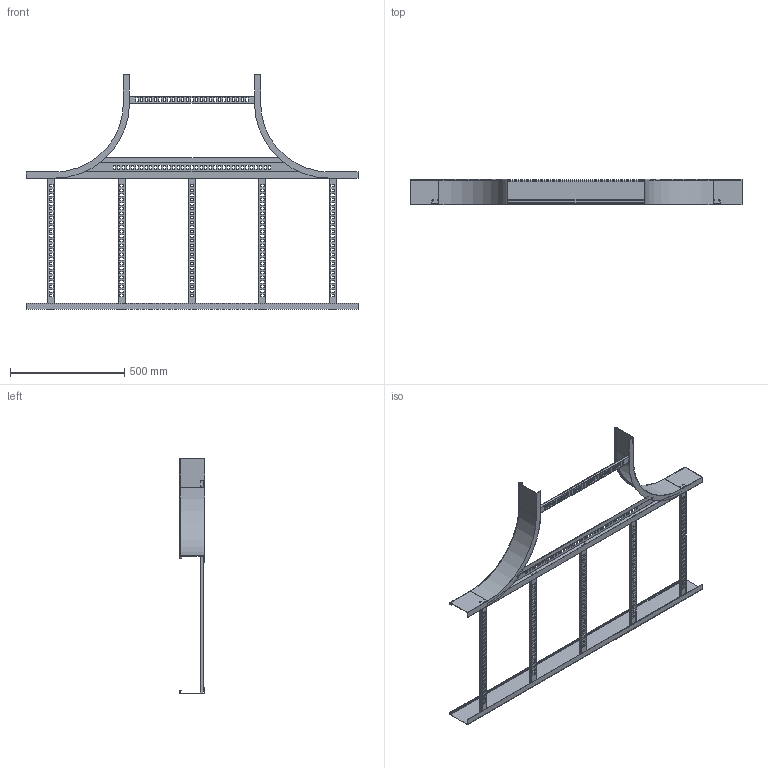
import cadquery as cq

sheet = 1.5
run_length = 1450.0
branch_length = 1025.0
run_width = 600.0
branch_width = 600.0

rail_height = 110.0
flange_width = 27.0
lip_height = 12.0
lip_return = 10.0
lip_bend = 4.0

bend_radius = 300.0
straight_length = 125.0
centre_x = run_length / 2
branch_x = centre_x - branch_width / 2
bend_centre_z = run_width + bend_radius

rung_width = 30.0
rung_depth = 15.0
rung_front = 5.0
rung_lip = 7.0
rung_bend = 3.0
run_rung_count = 5
first_rung_x = straight_length - rung_width / 2
rung_pitch = 2 * (centre_x - first_rung_x) / (run_rung_count - 1)
branch_rung_z = bend_centre_z + rung_width / 2

tie_flange = 30.0
tie_channel = 40.0
tie_upper_flange = 22.0
tie_depth = 18.0
tie_end_gap = 15.0

slot_pitch = 20.0
slot_length = 17.0
slot_width = 10.0
rung_slot_count = 25
tie_slot_count = 35


def rail_section():
    """Rail profile in the YZ plane: web on z = 0, front flange and a hooked, rounded back lip."""
    back = rail_height
    inner_back = back - sheet
    inner_top = lip_height - sheet
    inner_bend = lip_bend - sheet
    return (
        cq.Workplane("YZ")
        .moveTo(0, 0)
        .lineTo(back - lip_bend, 0)
        .radiusArc((back, lip_bend), -lip_bend)
        .lineTo(back, lip_height - lip_bend)
        .radiusArc((back - lip_bend, lip_height), -lip_bend)
        .lineTo(back - lip_return, lip_height)
        .lineTo(back - lip_return, inner_top)
        .lineTo(back - lip_bend, inner_top)
        .radiusArc((inner_back, lip_height - lip_bend), inner_bend)
        .lineTo(inner_back, lip_bend)
        .radiusArc((back - lip_bend, sheet), inner_bend)
        .lineTo(sheet, sheet)
        .lineTo(sheet, flange_width)
        .lineTo(0, flange_width)
        .close()
    )


def make_straight_rail():
    """Bottom rail along the whole run, opening upwards."""
    return rail_section().extrude(run_length)


def make_branch_rail():
    """Left branch rail: along the run, round the bend and up the branch."""
    path = (
        cq.Workplane("XZ")
        .moveTo(0, run_width)
        .lineTo(straight_length, run_width)
        .radiusArc((branch_x, bend_centre_z), -bend_radius)
        .lineTo(branch_x, branch_length)
    )
    section = rail_section().wires().val().mirror("XY").translate(cq.Vector(0, 0, run_width))
    return cq.Workplane("YZ").add(section).toPending().sweep(path)


def slot_row(count, x, z):
    """Cutters for a row of slots along X, centred on (x, z) and passing right through in Y."""
    return (
        cq.Workplane("XZ", origin=(x, 0, z))
        .rarray(slot_pitch, 1, count, 1)
        .rect(slot_width, slot_length)
        .extrude(rail_height, both=True)
    )


def make_rung():
    """C-shaped rung along X: slotted face on y = 0, open at the back between two lips."""
    length = run_width - 2 * sheet
    centring = (True, False, True)
    rung = cq.Workplane("XY").box(length, rung_depth, rung_width, centered=centring)
    rung = rung.edges("|X and >Y").fillet(rung_bend)
    hollow = (
        cq.Workplane("XY", origin=(0, sheet, 0))
        .box(length, rung_depth - 2 * sheet, rung_width - 2 * sheet, centered=centring)
        .edges("|X and >Y")
        .fillet(rung_bend - sheet)
    )
    mouth = cq.Workplane("XY", origin=(0, sheet, 0)).box(
        length, rung_depth, rung_width - 2 * rung_lip, centered=centring)
    return rung.cut(hollow).cut(mouth).cut(slot_row(rung_slot_count, 0, 0))


def make_run_rungs():
    """Upright rungs between the bottom rail and the top of the run."""
    upright = make_rung().rotate((0, 0, 0), (0, 1, 0), 90)
    rungs = []
    for i in range(run_rung_count):
        x = first_rung_x + i * rung_pitch
        rungs.append(upright.translate((x, rung_front, run_width / 2)))
    return rungs


def make_branch_rung():
    """Level rung across the branch, just above the bends."""
    return make_rung().translate((centre_x, rung_front, branch_rung_z))


def make_tie():
    """Hat-shaped strip behind the branch rail flanges, its ends curved to clear the rail webs."""
    front = sheet
    back = front + tie_depth
    bottom = run_width - tie_flange
    channel_bottom = run_width
    channel_top = channel_bottom + tie_channel
    top = channel_top + tie_upper_flange
    tie = (
        cq.Workplane("YZ", origin=(straight_length, 0, 0))
        .polyline([
            (front, bottom),
            (front + sheet, bottom),
            (front + sheet, channel_bottom - sheet),
            (back, channel_bottom - sheet),
            (back, channel_top + sheet),
            (front + sheet, channel_top + sheet),
            (front + sheet, top),
            (front, top),
            (front, channel_top),
            (back - sheet, channel_top),
            (back - sheet, channel_bottom),
            (front, channel_bottom),
        ])
        .close()
        .extrude(run_length - 2 * straight_length)
    )
    for bend_x in (straight_length, run_length - straight_length):
        end_cut = (
            cq.Workplane("XZ", origin=(bend_x, 0, bend_centre_z))
            .circle(bend_radius + tie_end_gap)
            .extrude(-rail_height)
        )
        tie = tie.cut(end_cut)
    return tie.cut(slot_row(tie_slot_count, centre_x, channel_bottom + tie_channel / 2))


straight_rail = make_straight_rail()
left_branch_rail = make_branch_rail()
right_branch_rail = left_branch_rail.mirror("YZ", (centre_x, 0, 0))
run_rungs = make_run_rungs()
branch_rung = make_branch_rung()
tie = make_tie()

result = cq.Compound.makeCompound([
    straight_rail.val(),
    left_branch_rail.val(),
    right_branch_rail.val(),
    *[rung.val() for rung in run_rungs],
    branch_rung.val(),
    tie.val(),
])